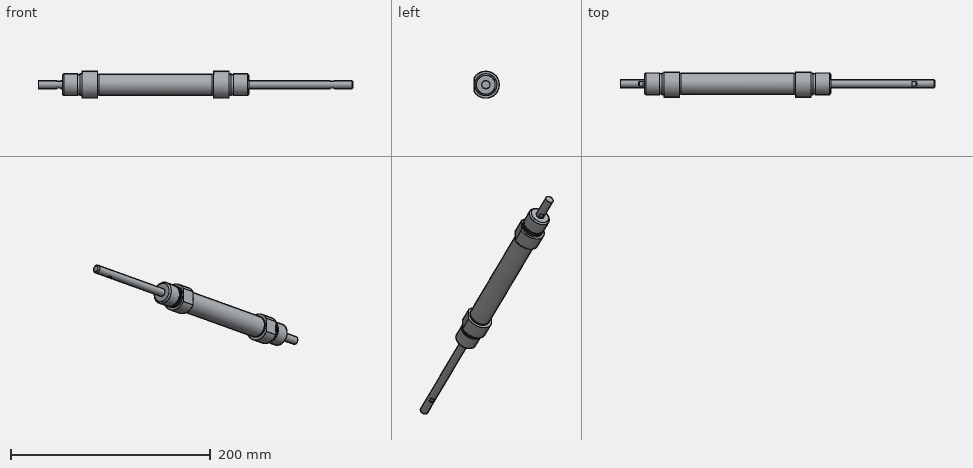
import cadquery as cq

rod_length = 315.0
rod_radius = 4.0
tip_chamfer = 1.3

flat_height = 3.5
flat_length = 3.8
flat_ramp_length = 2.0
flat_cut_height = 1.3
left_flat_end = 22.7
right_flat_end = 292.0

housing_start = 24.0
housing_end = 210.7
nose_radius = 11.0
nose_chamfer = 1.5
nose_length = 15.5
relief_length = 2.5
relief_radius = 10.0
collar_start = 43.8
collar_length = 15.5
collar_radius = 13.5
collar_flat = 11.5
neck_length = 1.5
neck_radius = 10.5
tube_radius = 10.7

housing_middle = (housing_start + housing_end) / 2


def x_cylinder(start, end, radius):
    """Solid cylinder about the X axis."""
    return cq.Workplane("YZ").workplane(offset=start).circle(radius).extrude(end - start)


def make_half_housing():
    """Left half of the housing, without its rod bore."""
    nose_end = housing_start + nose_length
    relief_end = nose_end + relief_length
    collar_end = collar_start + collar_length
    neck_end = collar_end + neck_length

    nose = x_cylinder(housing_start, nose_end, nose_radius).faces("<X").chamfer(nose_chamfer)
    relief = x_cylinder(nose_end, relief_end, relief_radius)
    shoulder = x_cylinder(relief_end, collar_start, nose_radius)
    collar = x_cylinder(collar_start, collar_end, collar_radius)
    flat_side = cq.Workplane("XY").box(
        collar_length, collar_radius, 2 * collar_radius, centered=(False, False, True)
    ).translate((collar_start, collar_flat, 0))
    neck = x_cylinder(collar_end, neck_end, neck_radius)
    tube = x_cylinder(neck_end, housing_middle, tube_radius)
    return nose.union(relief).union(shoulder).union(collar.cut(flat_side)).union(neck).union(tube)


def make_housing():
    """Both halves joined, with a through bore that fits the rod."""
    left_half = make_half_housing()
    right_half = left_half.mirror("YZ", (housing_middle, 0, 0))
    bore = x_cylinder(housing_start, housing_end, rod_radius)
    return left_half.union(right_half).cut(bore)


def make_flat_cutter(inner_end, outward, side):
    """Cutter for one flat; outward is the X sign toward the tip, side the Z sign."""
    outer_end = inner_end + outward * flat_length
    ramp_end = outer_end + outward * flat_ramp_length
    floor = side * flat_height
    top = side * (flat_height + flat_cut_height)
    return (
        cq.Workplane("XZ")
        .polyline([(inner_end, floor), (outer_end, floor), (ramp_end, top), (inner_end, top)])
        .close()
        .extrude(rod_radius, both=True)
    )


def make_rod():
    rod = x_cylinder(0, rod_length, rod_radius).faces(">X").chamfer(tip_chamfer)
    for inner_end, outward in ((left_flat_end, -1), (right_flat_end, 1)):
        for side in (-1, 1):
            rod = rod.cut(make_flat_cutter(inner_end, outward, side))
    return rod


housing = make_housing()
rod = make_rod()

result = cq.Compound.makeCompound([housing.val(), rod.val()])